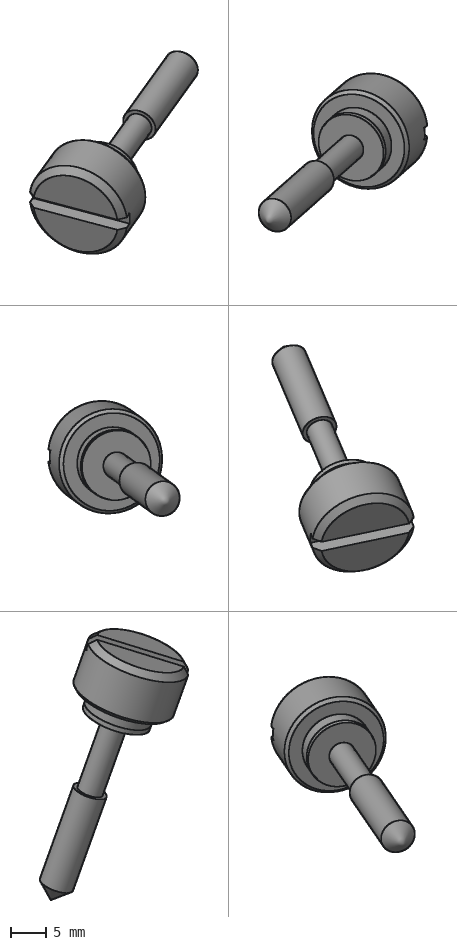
import cadquery as cq

total_length = 40.0

head_diameter = 15.0
head_length = 8.0
face_chamfer = 1.0
rear_chamfer = face_chamfer / 2
slot_width = 1.8
slot_depth = 2.0

collar_diameter = 10.0
collar_and_washer_length = 2.8
washer_thickness = 0.75
collar_length = collar_and_washer_length - washer_thickness

shank_diameter = 3.8
thread_diameter = 5.0
thread_length = 15.0
tip_length = thread_diameter / 2

collar_end = head_length + collar_length
thread_end = total_length - tip_length
thread_start = thread_end - thread_length


def make_screw():
    """Turned screw with a driver slot across its head."""
    head_radius = head_diameter / 2
    collar_radius = collar_diameter / 2
    shank_radius = shank_diameter / 2
    thread_radius = thread_diameter / 2
    profile = [
        (0, 0),
        (head_radius - face_chamfer, 0),
        (head_radius, face_chamfer),
        (head_radius, head_length - rear_chamfer),
        (head_radius - rear_chamfer, head_length),
        (collar_radius, head_length),
        (collar_radius, collar_end),
        (shank_radius, collar_end),
        (shank_radius, thread_start),
        (thread_radius, thread_start),
        (thread_radius, thread_end),
        (0, total_length),
    ]
    turned = cq.Workplane("XY").polyline(profile).close().revolve(360, (0, 0), (0, 1))
    slot = cq.Workplane("XY").box(head_diameter, slot_depth, slot_width)
    return turned.cut(slot.translate((0, slot_depth / 2, 0)))


def make_washer():
    """Plain washer around the shank, seated against the collar."""
    return (
        cq.Workplane("XZ", origin=(0, collar_end, 0))
        .circle(collar_diameter / 2)
        .circle(shank_diameter / 2)
        .extrude(-washer_thickness)
    )


screw = make_screw()
washer = make_washer()

result = cq.Compound.makeCompound([screw.val(), washer.val()])